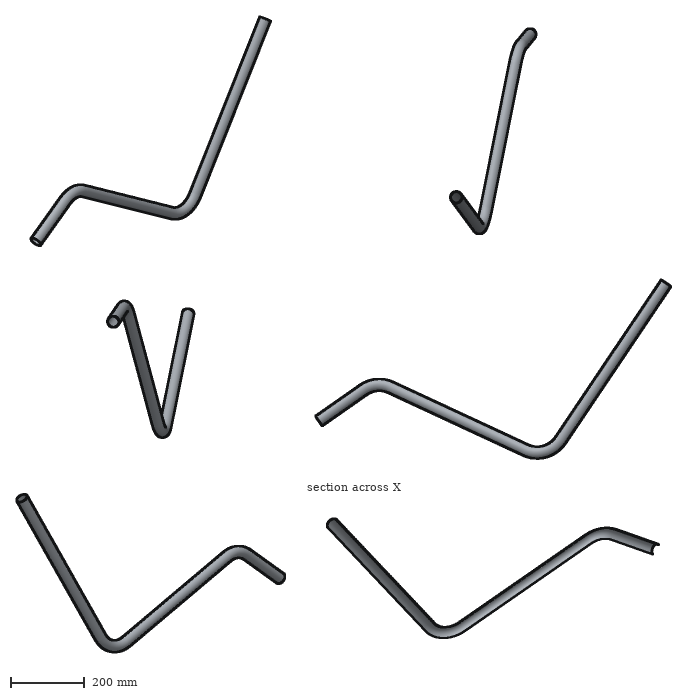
import cadquery as cq
import math

OVERALL_LENGTH = 978.0

OUTER_DIAMETER = 33.0
INNER_DIAMETER = 29.0

BEND_RADIUS = 75.0
FRONT_LEG = 147.0
REAR_LEG = 513.0

FRONT_SLOPE = 33.8
MIDDLE_SLOPE = -26.4
REAR_SLOPE = 55.5


def run_along_y(length, slope):
    """Distance covered along Y by a straight length at a slope."""
    return length * math.cos(math.radians(slope))


def rise(length, slope):
    """Distance covered along Z by a straight length at a slope."""
    return length * math.sin(math.radians(slope))


def bend_along_y(start_slope, end_slope):
    """Distance covered along Y by a bend between two slopes."""
    return abs(rise(BEND_RADIUS, end_slope) - rise(BEND_RADIUS, start_slope))


outer_radius = OUTER_DIAMETER / 2
end_overhang = rise(outer_radius, FRONT_SLOPE) + rise(outer_radius, REAR_SLOPE)
bend_total = bend_along_y(FRONT_SLOPE, MIDDLE_SLOPE) + bend_along_y(MIDDLE_SLOPE, REAR_SLOPE)
leg_total = run_along_y(FRONT_LEG, FRONT_SLOPE) + run_along_y(REAR_LEG, REAR_SLOPE)
middle_run = OVERALL_LENGTH - end_overhang - bend_total - leg_total
middle_leg = middle_run / math.cos(math.radians(MIDDLE_SLOPE))


def add_leg(path, length, slope):
    """Continue the centreline with a straight leg."""
    return path.line(run_along_y(length, slope), rise(length, slope))


def add_bend(path, start_slope, end_slope):
    """Continue the centreline with an arc tangent to both slopes."""
    turn = math.radians(end_slope - start_slope)
    chord = 2 * BEND_RADIUS * math.sin(abs(turn) / 2)
    chord_slope = (start_slope + end_slope) / 2
    chord_step = (run_along_y(chord, chord_slope), rise(chord, chord_slope))
    return path.tangentArcPoint(chord_step, relative=True)


def centreline():
    """Centreline from the front end to the rear end."""
    path = cq.Workplane("YZ").moveTo(0, 0)
    path = add_leg(path, FRONT_LEG, FRONT_SLOPE)
    path = add_bend(path, FRONT_SLOPE, MIDDLE_SLOPE)
    path = add_leg(path, middle_leg, MIDDLE_SLOPE)
    path = add_bend(path, MIDDLE_SLOPE, REAR_SLOPE)
    path = add_leg(path, REAR_LEG, REAR_SLOPE)
    return path.wire()


def end_plane():
    """Plane square to the front leg at its open end."""
    axis = (0, run_along_y(1, FRONT_SLOPE), rise(1, FRONT_SLOPE))
    return cq.Plane(origin=(0, 0, 0), xDir=(1, 0, 0), normal=axis)


section = cq.Workplane(end_plane()).circle(outer_radius).circle(INNER_DIAMETER / 2)
result = section.sweep(centreline())